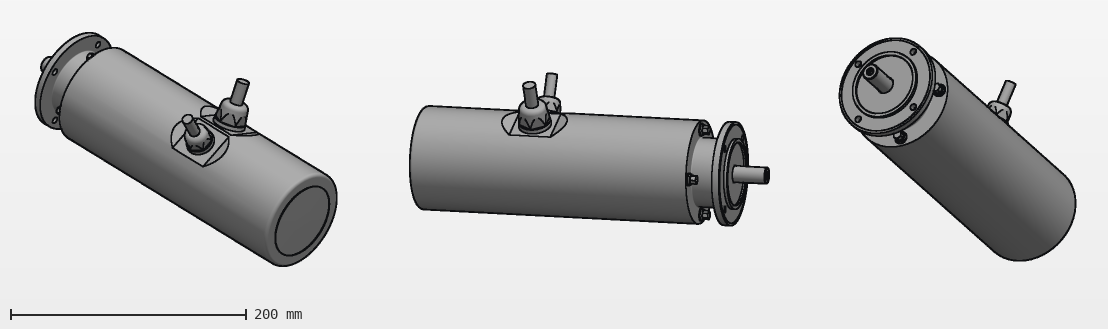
import cadquery as cq
import math

TOTAL_LENGTH = 305.0
BODY_DIAMETER = 88.0
BODY_RADIUS = BODY_DIAMETER / 2
BODY_START = 59.0
REAR_RIM_X = 304.0
CAP_RIM_X = 304.7
REAR_FILLET = 3.0
CAP_RADIUS = 32.5

SHAFT_DIAMETER = 14.0
SHAFT_CHAMFER = 0.5
SHAFT_CLEARANCE_DIAMETER = 15.0
SHAFT_CLEARANCE_DEPTH = 1.8
CENTER_CONE_DIAMETER = 6.7
CENTER_BORE_DIAMETER = 4.5
CENTER_CONE_DEPTH = 1.0
CENTER_BORE_DEPTH = 3.0
CENTER_DRILL_DIAMETER = 3.5
CENTER_DRILL_DEPTH = 12.2

PILOT_START = 26.8
PILOT_DIAMETER = 60.0
PILOT_RECESS_DIAMETER = 54.0
PILOT_RECESS_DEPTH = 1.8
FLANGE_START = 29.5
FLANGE_END = 36.0
FLANGE_FACE_DIAMETER = 84.0
FLANGE_STEP = 0.3
FLANGE_HOLE_DIAMETER = 5.5
FLANGE_HOLE_COUNT = 4
FLANGE_HOLE_START_ANGLE = 45.0
BOLT_CIRCLE_RADIUS = 37.0
NECK_DIAMETER = 59.0
NECK_FILLET = 1.0

SCREW_COUNT = 4
SCREW_CIRCLE_RADIUS = 36.5
HEAD_START = 51.5
HEAD_ACROSS_CORNERS = 7.5
HEAD_CHAMFER = 0.3
WASHER_START = 56.5
WASHER_RIM_START = 58.0
WASHER_TOP_DIAMETER = 8.8
WASHER_DIAMETER = 10.7

PAD_X = 200.5
PAD_LENGTH = 36.3
PAD_DISTANCE = 40.5
PAD_RUNOUT_ANGLE = 19.0
GLAND_TILT = 25.0

HEX_SIDES = 6
COLLAR_TOP = 44.2
FLAT_LEAN_ANGLE = 3.0


def x_cylinder(start, end, diameter):
    """Cylinder on the motor axis between two X positions."""
    return cq.Workplane("YZ", origin=(start, 0, 0)).circle(diameter / 2).extrude(end - start)


def make_screw():
    """Hexagon head screw on the X axis, chamfered on both sides of the head, with its washer."""
    head = (
        cq.Workplane("YZ", origin=(HEAD_START, 0, 0))
        .polygon(HEX_SIDES, HEAD_ACROSS_CORNERS)
        .extrude(WASHER_START - HEAD_START)
    )
    limit = x_cylinder(HEAD_START, WASHER_START, HEAD_ACROSS_CORNERS).edges().chamfer(HEAD_CHAMFER)
    washer = (
        cq.Workplane("XY")
        .moveTo(WASHER_START, 0)
        .lineTo(WASHER_START, WASHER_TOP_DIAMETER / 2)
        .lineTo(WASHER_RIM_START, WASHER_DIAMETER / 2)
        .lineTo(BODY_START, WASHER_DIAMETER / 2)
        .lineTo(BODY_START, 0)
        .close()
        .revolve(360, (0, 0, 0), (1, 0, 0))
    )
    return head.intersect(limit).union(washer)


def pad_cutter(side):
    """Everything outside a flat pad, with run-out slopes fore and aft."""
    rise = BODY_DIAMETER - PAD_DISTANCE
    runout = rise / math.tan(math.radians(PAD_RUNOUT_ANGLE))
    half = PAD_LENGTH / 2
    return (
        cq.Workplane("XZ", origin=(0, BODY_RADIUS, 0))
        .moveTo(PAD_X - half, PAD_DISTANCE)
        .lineTo(PAD_X + half, PAD_DISTANCE)
        .lineTo(PAD_X + half + runout, BODY_DIAMETER)
        .lineTo(PAD_X - half - runout, BODY_DIAMETER)
        .close()
        .extrude(BODY_DIAMETER)
        .rotate((0, 0, 0), (1, 0, 0), -side * GLAND_TILT)
    )


def make_housing():
    """Cylindrical housing with a rounded rear rim and a shallow conical end cap."""
    return (
        cq.Workplane("XY")
        .moveTo(BODY_START, 0)
        .lineTo(BODY_START, BODY_RADIUS)
        .lineTo(REAR_RIM_X - REAR_FILLET, BODY_RADIUS)
        .radiusArc((REAR_RIM_X, BODY_RADIUS - REAR_FILLET), REAR_FILLET)
        .lineTo(REAR_RIM_X, CAP_RADIUS)
        .lineTo(CAP_RIM_X, CAP_RADIUS)
        .lineTo(TOTAL_LENGTH, 0)
        .close()
        .revolve(360, (0, 0, 0), (1, 0, 0))
    )


def add_flange(housing):
    """Join the neck and the mounting flange to the front of the housing."""
    neck = x_cylinder(FLANGE_END, BODY_START, NECK_DIAMETER)
    flange = x_cylinder(FLANGE_START + FLANGE_STEP, FLANGE_END, BODY_DIAMETER)
    flange_face = x_cylinder(FLANGE_START, FLANGE_END, FLANGE_FACE_DIAMETER)
    motor = housing.union(flange).union(flange_face).union(neck)
    neck_corners = cq.selectors.BoxSelector(
        (FLANGE_END - NECK_FILLET, -PILOT_DIAMETER, -PILOT_DIAMETER),
        (BODY_START + NECK_FILLET, PILOT_DIAMETER, PILOT_DIAMETER),
    )
    smallest_circles = cq.selectors.RadiusNthSelector(0)
    motor = motor.edges(neck_corners).edges(smallest_circles).fillet(NECK_FILLET)

    flange_holes = (
        cq.Workplane("YZ", origin=(FLANGE_START, 0, 0))
        .polarArray(BOLT_CIRCLE_RADIUS, FLANGE_HOLE_START_ANGLE, 360, FLANGE_HOLE_COUNT)
        .circle(FLANGE_HOLE_DIAMETER / 2)
        .extrude(FLANGE_END - FLANGE_START)
    )
    return motor.cut(flange_holes)


def make_center_hole():
    """Stepped center hole in the shaft tip."""
    return (
        cq.Workplane("XY")
        .lineTo(0, CENTER_CONE_DIAMETER / 2)
        .lineTo(CENTER_CONE_DEPTH, CENTER_BORE_DIAMETER / 2)
        .lineTo(CENTER_BORE_DEPTH, CENTER_BORE_DIAMETER / 2)
        .lineTo(CENTER_BORE_DEPTH, CENTER_DRILL_DIAMETER / 2)
        .lineTo(CENTER_DRILL_DEPTH, CENTER_DRILL_DIAMETER / 2)
        .lineTo(CENTER_DRILL_DEPTH, 0)
        .close()
        .revolve(360, (0, 0, 0), (1, 0, 0))
    )


def add_pilot_and_shaft(motor):
    """Add the recessed pilot ring and the shaft, which stands in a narrow ring gap."""
    recess_floor = PILOT_START + PILOT_RECESS_DEPTH
    motor = motor.union(x_cylinder(PILOT_START, FLANGE_START, PILOT_DIAMETER))
    motor = motor.cut(x_cylinder(PILOT_START, recess_floor, PILOT_RECESS_DIAMETER))
    gap_floor = recess_floor + SHAFT_CLEARANCE_DEPTH
    motor = motor.cut(x_cylinder(recess_floor, gap_floor, SHAFT_CLEARANCE_DIAMETER))
    shaft = x_cylinder(0, gap_floor, SHAFT_DIAMETER).faces("<X").chamfer(SHAFT_CHAMFER)
    return motor.union(shaft.cut(make_center_hole()))


def make_motor():
    """Motor in one piece: housing, flange, pilot, shaft and screws, with both gland pads cut."""
    motor = add_pilot_and_shaft(add_flange(make_housing()))
    screw = make_screw().translate((0, SCREW_CIRCLE_RADIUS, 0))
    for index in range(SCREW_COUNT):
        motor = motor.union(screw.rotate((0, 0, 0), (1, 0, 0), index * 360 / SCREW_COUNT))
    for side in (1, -1):
        motor = motor.cut(pad_cutter(side))
    return motor


def make_gland(side, collar_diameter, top_diameter, top, rounding, across_flats, cable_diameter, cable_end):
    """Cable gland with its cable, standing on the pad of one side (+1 for +Y, -1 for -Y).

    Heights run from the motor axis outwards.
    """
    nut = (
        cq.Workplane("XZ")
        .moveTo(0, PAD_DISTANCE)
        .lineTo(collar_diameter / 2, PAD_DISTANCE)
        .lineTo(top_diameter / 2, top)
        .lineTo(0, top)
        .close()
        .revolve(360, (0, 0, 0), (0, 1, 0))
        .faces(">Z")
        .edges()
        .fillet(rounding)
    )
    collar = (
        cq.Workplane("XY", origin=(0, 0, PAD_DISTANCE))
        .circle(collar_diameter / 2)
        .extrude(COLLAR_TOP - PAD_DISTANCE)
    )
    across_corners = across_flats / math.cos(math.pi / HEX_SIDES)
    hexagon = (
        cq.Workplane("XY", origin=(0, 0, COLLAR_TOP))
        .transformed(rotate=(0, 0, 180 / HEX_SIDES))
        .polygon(HEX_SIDES, across_corners)
        .extrude(top - COLLAR_TOP, taper=-FLAT_LEAN_ANGLE)
    )
    cable = (
        cq.Workplane("XY", origin=(0, 0, PAD_DISTANCE))
        .circle(cable_diameter / 2)
        .extrude(cable_end - PAD_DISTANCE)
    )
    gland = nut.intersect(collar.union(hexagon)).union(cable)
    return gland.translate((PAD_X, 0, 0)).rotate((0, 0, 0), (1, 0, 0), -side * GLAND_TILT)


motor = make_motor()
large_gland = make_gland(
    side=1, collar_diameter=28.0, top_diameter=22.5, top=61.0, rounding=4.3,
    across_flats=23.2, cable_diameter=10.7, cable_end=81.0,
)
small_gland = make_gland(
    side=-1, collar_diameter=24.5, top_diameter=19.2, top=57.5, rounding=4.3,
    across_flats=19.8, cable_diameter=9.0, cable_end=78.5,
)
result = cq.Compound.makeCompound([motor.val(), large_gland.val(), small_gland.val()])